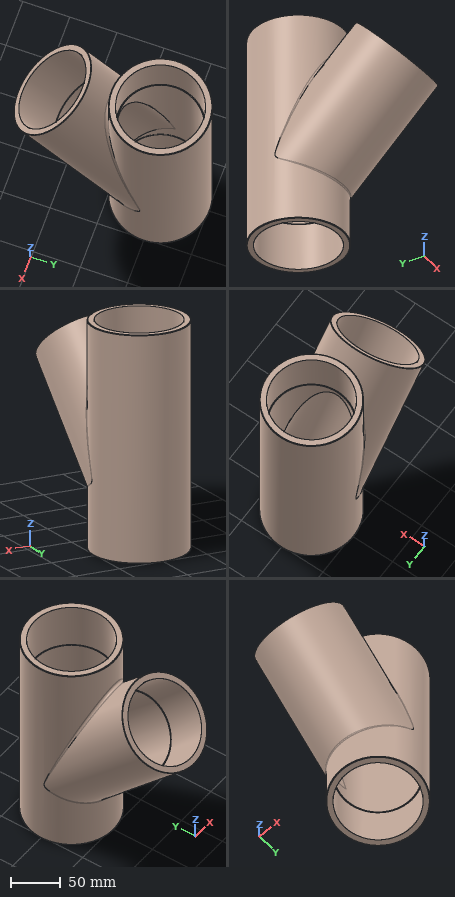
import cadquery as cq
import math

height = 240.0
pipe_diameter = 104.2

branch_diameter = 104.0
branch_angle = 45.0
branch_start_height = 74.6
branch_length = 162.2

bore_diameter = 88.0
socket_diameter = 90.0
socket_depth = 52.8

seam_radius = 2.5
pipe_rim_chamfer = 0.7
branch_rim_chamfer = 0.5

lean = math.radians(branch_angle)
branch_direction = cq.Vector(0, -math.sin(lean), math.cos(lean))
axes_crossing = cq.Vector(0, 0, branch_start_height)


def pipe_cylinder(diameter, bottom, top):
    """Cylinder on the main pipe axis between two heights."""
    return cq.Workplane("XY", origin=(0, 0, bottom)).circle(diameter / 2).extrude(top - bottom)


def branch_cylinder(diameter, start, end):
    """Cylinder on the branch axis between two distances from the axis crossing."""
    base = axes_crossing + branch_direction * start
    solid = cq.Solid.makeCylinder(diameter / 2, end - start, base, branch_direction)
    return cq.Workplane(solid)


def outer_body():
    """Solid pipe and branch with a rounded seam and chamfered rims."""
    pipe = pipe_cylinder(pipe_diameter, 0, height).edges("%CIRCLE").chamfer(pipe_rim_chamfer)
    branch = branch_cylinder(branch_diameter, 0, branch_length)
    branch = branch.faces(">Z").edges("%CIRCLE").chamfer(branch_rim_chamfer)
    return pipe.union(branch).edges("not(%CIRCLE or %LINE)").fillet(seam_radius)


def cut_bores(body):
    """Open the pipe from end to end and join the branch to it."""
    body = body.cut(pipe_cylinder(bore_diameter, 0, height))
    return body.cut(branch_cylinder(bore_diameter, 0, branch_length))


def cut_sockets(body):
    """Widen each of the three open ends down to a flat shoulder."""
    body = body.cut(pipe_cylinder(socket_diameter, 0, socket_depth))
    body = body.cut(pipe_cylinder(socket_diameter, height - socket_depth, height))
    return body.cut(branch_cylinder(socket_diameter, branch_length - socket_depth, branch_length))


result = cut_sockets(cut_bores(outer_body()))